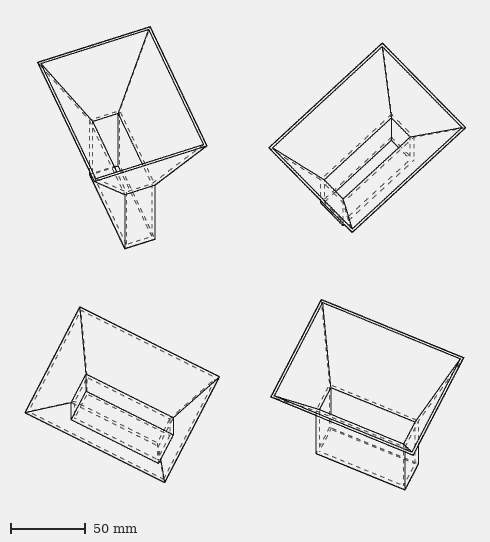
import cadquery as cq

total_height = 118.9
mouth_length = 105.2
mouth_width = 81.1

neck_length = 65.7
neck_width = 21.9
neck_height = 62.6

wall = 1.8

flare_height = total_height - neck_height


def horn(inset, base_height):
    """Solid neck and flare, with every side moved inward by inset."""
    neck = (
        cq.Workplane("XY")
        .workplane(offset=base_height)
        .rect(neck_length - 2 * inset, neck_width - 2 * inset)
        .extrude(neck_height - base_height)
    )
    flare = (
        cq.Workplane("XY")
        .workplane(offset=neck_height)
        .rect(neck_length - 2 * inset, neck_width - 2 * inset)
        .workplane(offset=flare_height)
        .rect(mouth_length - 2 * inset, mouth_width - 2 * inset)
        .loft(ruled=True)
    )
    return neck.union(flare)


outer_body = horn(0, 0)
cavity = horn(wall, wall)
result = outer_body.cut(cavity)